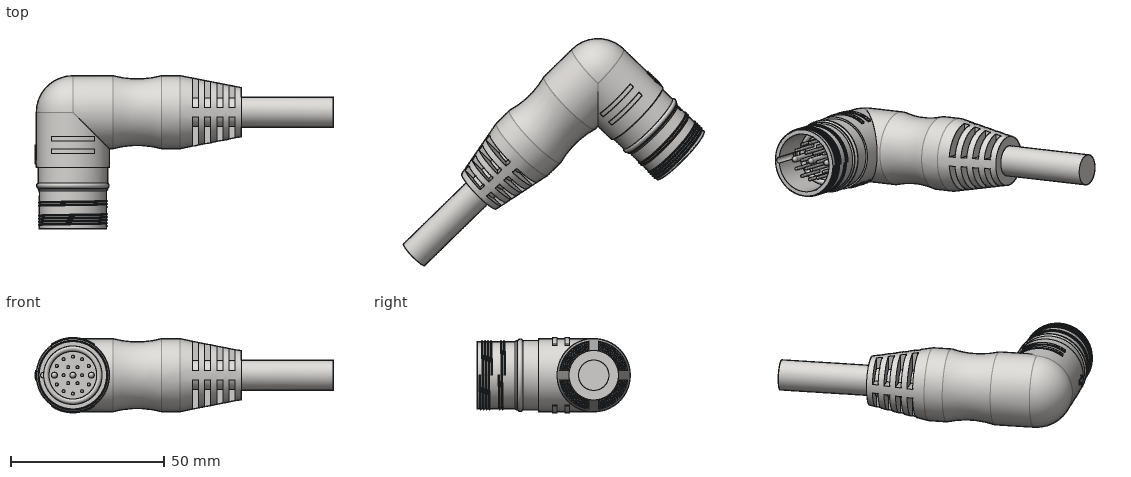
import cadquery as cq
import math


overall_length = 97.3
overall_depth = 50.0
overall_height = 24.6
body_diameter = 23.9

body_radius = body_diameter / 2
raised_radius = overall_height / 2
cable_end = overall_length - raised_radius
plug_face = overall_depth - body_radius

waist_start = 13.0
waist_end = 29.0
waist_radius = 10.9
taper_start = 35.0
taper_end = 55.0
taper_end_radius = 8.1
cable_radius = 5.0

slot_count = 4
slot_start = 39.0
slot_width = 1.9
slot_pitch = 4.0
rib_width = 3.0

bar_length = 14.0
bar_width = 1.5
bar_places = (8.7, 12.65)
arrow_tail = 10.7
arrow_shoulder = 14.2
arrow_tip = 16.8
arrow_shaft_width = 1.5
arrow_head_width = 3.2

arm_end = 18.0
neck_radius = 11.4
seal_place = 23.9
neck_end = 25.1
sleeve_start = 25.7
sleeve_radius = 11.0
bore_radius = 9.5
bore_depth = 14.0
bore_floor = plug_face - bore_depth

ring_section_radius = 0.9
outer_ring_crest = 11.9
outer_ring_radius = outer_ring_crest - ring_section_radius
inner_ring_radius = bore_radius - ring_section_radius

thread_runs = ((29.0, 2), (33.3, 4))
thread_pitch = 1.0
thread_height = 0.3
thread_width = 0.7
thread_root_sink = 0.1

dimple_place = 26.7
dimple_radius = 0.7
dimple_rim_radius = 1.1
dimple_depth = 0.3
keyway_radius = 1.0
keyway_length = 12.65

small_pin_radius = 0.5
large_pin_radius = 1.0
inner_circle_radius = 3.0
outer_circle_radius = 6.0
inner_circle_count = 6
outer_circle_count = 12
pin_length = 10.8

PLUG_PLANE = cq.Plane(origin=(0, 0, 0), xDir=(1, 0, 0), normal=(0, -1, 0))


def plug_cylinder(radius, start, end):
    """Round bar on the plug axis between two distances along -Y."""
    return cq.Workplane(PLUG_PLANE).workplane(offset=start).circle(radius).extrude(end - start)


def make_cable_arm():
    """Elbow ball, waisted grip, conical strain relief and cable, turned about X."""
    waist_middle = (waist_start + waist_end) / 2
    return (
        cq.Workplane("XY")
        .moveTo(-body_radius, 0)
        .threePointArc(
            (-body_radius * math.sqrt(0.5), body_radius * math.sqrt(0.5)), (0, body_radius)
        )
        .lineTo(waist_start, body_radius)
        .threePointArc((waist_middle, waist_radius), (waist_end, body_radius))
        .lineTo(taper_start, body_radius)
        .lineTo(taper_end, taper_end_radius)
        .lineTo(taper_end, cable_radius)
        .lineTo(cable_end, cable_radius)
        .lineTo(cable_end, 0)
        .close()
        .revolve(360, (0, 0, 0), (1, 0, 0))
    )


def make_relief_slots():
    """Rings cut down to the cable radius, broken by four ribs."""
    slots = cq.Workplane("YZ")
    outer_radius = body_radius + rib_width
    for index in range(slot_count):
        place = slot_start + index * slot_pitch
        ring = (
            cq.Workplane("YZ").workplane(offset=place)
            .circle(outer_radius).circle(cable_radius).extrude(slot_width)
        )
        slots = slots.add(ring)
    relief_length = taper_end - taper_start
    ribs = (
        cq.Workplane("YZ").workplane(offset=taper_start)
        .rect(2 * outer_radius, rib_width).extrude(relief_length)
        .union(
            cq.Workplane("YZ").workplane(offset=taper_start)
            .rect(rib_width, 2 * outer_radius).extrude(relief_length)
        )
    )
    return slots.combine().cut(ribs)


def make_plug_arm():
    """Stepped plug turned about Y, with its O-ring groove, before boring."""
    groove_root = outer_ring_radius - ring_section_radius
    groove_start = seal_place - ring_section_radius
    groove_end = seal_place + ring_section_radius
    return (
        cq.Workplane("XY")
        .polyline([
            (0, 0),
            (body_radius, 0),
            (body_radius, -arm_end),
            (neck_radius, -arm_end),
            (neck_radius, -groove_start),
            (groove_root, -groove_start),
            (groove_root, -groove_end),
            (neck_radius, -groove_end),
            (neck_radius, -neck_end),
            (sleeve_radius, -sleeve_start),
            (sleeve_radius, -plug_face),
            (0, -plug_face),
        ])
        .close()
        .revolve(360, (0, 0, 0), (0, 1, 0))
    )


def make_raised_marks():
    """Grip bars above and below and an arrow on the -X side, all on one larger cylinder."""
    marks = cq.Workplane("XY")
    for place in bar_places:
        marks = marks.add(
            cq.Workplane("XY").box(bar_length, bar_width, overall_height).translate((0, -place, 0))
        )
    arrow = (
        cq.Workplane("YZ")
        .polyline([
            (-arrow_tail, arrow_shaft_width / 2),
            (-arrow_shoulder, arrow_shaft_width / 2),
            (-arrow_shoulder, arrow_head_width / 2),
            (-arrow_tip, 0),
            (-arrow_shoulder, -arrow_head_width / 2),
            (-arrow_shoulder, -arrow_shaft_width / 2),
            (-arrow_tail, -arrow_shaft_width / 2),
        ])
        .close()
        .extrude(-raised_radius)
    )
    return marks.add(arrow).combine().intersect(plug_cylinder(raised_radius, 0, arm_end))


def make_thread(start, turns):
    """Helical V ridge that starts on the +X side and advances along -Y."""
    root_radius = sleeve_radius - thread_root_sink
    helix = cq.Wire.makeHelix(thread_pitch, turns * thread_pitch, sleeve_radius)
    ridge = (
        cq.Workplane("XZ")
        .polyline([
            (root_radius, -thread_width / 2),
            (sleeve_radius + thread_height, 0),
            (root_radius, thread_width / 2),
        ])
        .close()
        .sweep(cq.Workplane(helix), isFrenet=True)
    )
    return ridge.rotate((0, 0, 0), (1, 0, 0), 90).translate((0, -start, 0))


def make_dimple():
    """Conical dimple in the -X side of the sleeve."""
    return (
        cq.Workplane("YZ", origin=(-sleeve_radius, -dimple_place, 0))
        .circle(dimple_rim_radius)
        .workplane(offset=dimple_depth)
        .circle(dimple_radius)
        .loft()
    )


def make_keyway():
    """Half-round groove along the -X side of the bore."""
    keyway_start = plug_face - keyway_length
    return plug_cylinder(keyway_radius, keyway_start, plug_face).translate((-bore_radius, 0, 0))


def make_pin(radius, x, z):
    """Round-nosed contact pin standing on the bore floor, its foot sunk into the plug."""
    foot = bore_floor - radius
    nose_centre = bore_floor + pin_length - radius
    return (
        cq.Workplane("XY")
        .moveTo(0, -foot)
        .lineTo(radius, -foot)
        .lineTo(radius, -nose_centre)
        .threePointArc(
            (radius * math.sqrt(0.5), -nose_centre - radius * math.sqrt(0.5)),
            (0, -nose_centre - radius),
        )
        .close()
        .revolve(360, (0, 0, 0), (0, 1, 0))
        .translate((x, 0, z))
    )


def make_pins():
    """A central pin inside circles of 6 and 12; the two outer pins on the X axis are large."""
    pins = [make_pin(large_pin_radius, 0, 0)]
    for circle_radius, count in (
        (inner_circle_radius, inner_circle_count),
        (outer_circle_radius, outer_circle_count),
    ):
        for index in range(count):
            angle = 2 * math.pi * index / count
            is_large = circle_radius == outer_circle_radius and index % (count // 2) == 0
            radius = large_pin_radius if is_large else small_pin_radius
            pins.append(
                make_pin(radius, circle_radius * math.cos(angle), circle_radius * math.sin(angle))
            )
    return pins


def make_connector():
    """Moulded elbow, cable, plug and contacts as one solid."""
    connector = make_cable_arm().cut(make_relief_slots())
    connector = connector.union(make_plug_arm()).union(make_raised_marks())
    for start, turns in thread_runs:
        connector = connector.union(make_thread(start, turns))
    connector = connector.cut(plug_cylinder(bore_radius, bore_floor, plug_face))
    connector = connector.cut(make_keyway()).cut(make_dimple())
    for pin in make_pins():
        connector = connector.union(pin)
    return connector


def make_o_ring(ring_radius, place):
    """O-ring around the plug axis, centred at a distance along -Y."""
    return cq.Solid.makeTorus(
        ring_radius, ring_section_radius, cq.Vector(0, -place, 0), cq.Vector(0, -1, 0)
    )


connector = make_connector()
outer_o_ring = make_o_ring(outer_ring_radius, seal_place)
inner_o_ring = make_o_ring(inner_ring_radius, bore_floor + ring_section_radius)

result = cq.Compound.makeCompound([connector.val(), outer_o_ring, inner_o_ring])